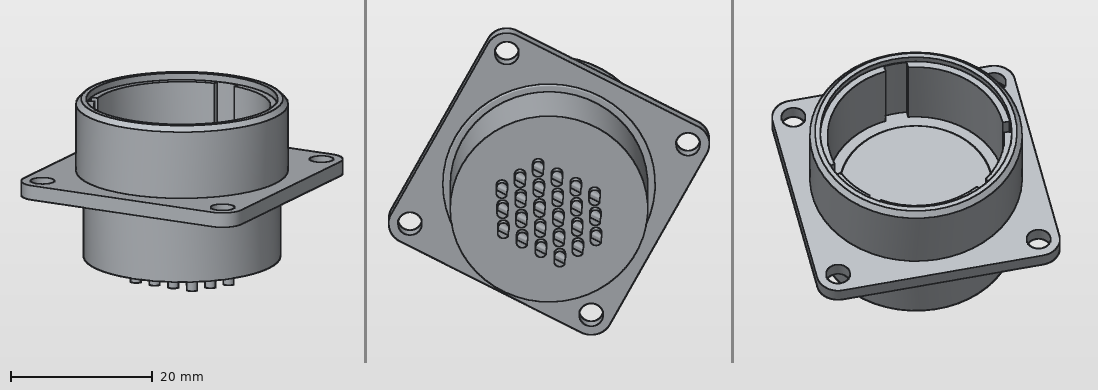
import cadquery as cq
import math

FLANGE_SIDE = 35.0
FLANGE_THICKNESS = 2.1
FLANGE_CORNER_RADIUS = 3.0
HOLE_SPACING = 28.98
HOLE_DIAMETER = 3.4

SHELL_RADIUS = 14.98
SHELL_HEIGHT = 10.43
RIM_CHAMFER = 0.75
BORE_RADIUS = 13.5
KEYWAY_RADIUS = 13.4
KEY_RING_RADIUS = 12.5
KEY_RING_DROP = 0.98
CAVITY_DEPTH = 12.2

INSERT_RADIUS = 10.85
INSERT_HEIGHT = 0.15
INSERT_CHAMFER = 0.1

MAIN_KEY_ANGLE = 90.0
MAIN_KEY_WIDTH = 3.25
MINOR_KEY_WIDTH = 1.82
KEYWAYS = [(MAIN_KEY_ANGLE, MAIN_KEY_WIDTH)]
KEYWAYS += [(MAIN_KEY_ANGLE + turn, MINOR_KEY_WIDTH) for turn in (105.0, 140.0, 215.0, 265.0)]

BODY_RADIUS = 13.93
BODY_LENGTH = 10.45
COLLAR_HEIGHT = 0.28
COLLAR_FILLET = 0.25

CONTACT_PITCH = 3.0
CONTACT_ROWS = (4, 5, 6, 5, 4)
CONTACT_DIAMETER = 1.6
CONTACT_LENGTH = 3.1
CONTACT_ROUND_LENGTH = 1.2
CUP_FILLET = 0.5

SHELL_TOP = FLANGE_THICKNESS + SHELL_HEIGHT
CAVITY_FLOOR = SHELL_TOP - CAVITY_DEPTH
KEY_RING_TOP = SHELL_TOP - KEY_RING_DROP


def disc(radius, bottom, top):
    return cq.Workplane("XY").workplane(offset=bottom).circle(radius).extrude(top - bottom)


def flange():
    plate = cq.Workplane("XY").rect(FLANGE_SIDE, FLANGE_SIDE).extrude(FLANGE_THICKNESS)
    plate = plate.edges("|Z").fillet(FLANGE_CORNER_RADIUS)
    holes = (
        cq.Workplane("XY")
        .rect(HOLE_SPACING, HOLE_SPACING, forConstruction=True)
        .vertices()
        .circle(HOLE_DIAMETER / 2)
        .extrude(FLANGE_THICKNESS)
    )
    return plate.cut(holes)


def shell():
    return disc(SHELL_RADIUS, 0, SHELL_TOP).faces(">Z").chamfer(RIM_CHAMFER)


def rear_body():
    collar = disc(SHELL_RADIUS, -COLLAR_HEIGHT, 0).faces("<Z").edges().fillet(COLLAR_FILLET)
    return disc(BODY_RADIUS, -BODY_LENGTH, 0).union(collar)


def keyway(angle, width):
    """Radial slot through the key ring, ending just inside the bore wall."""
    slot = (
        cq.Workplane("XY")
        .workplane(offset=CAVITY_FLOOR)
        .center(SHELL_RADIUS / 2, 0)
        .rect(SHELL_RADIUS, width)
        .extrude(CAVITY_DEPTH)
        .rotate((0, 0, 0), (0, 0, 1), angle)
    )
    return slot.intersect(disc(KEYWAY_RADIUS, CAVITY_FLOOR, SHELL_TOP))


def cavity():
    """Stepped bore with its keyways, leaving the insert face raised on the floor."""
    space = disc(KEY_RING_RADIUS, CAVITY_FLOOR, SHELL_TOP)
    space = space.union(disc(BORE_RADIUS, KEY_RING_TOP, SHELL_TOP))
    for angle, width in KEYWAYS:
        space = space.union(keyway(angle, width))
    insert = disc(INSERT_RADIUS, CAVITY_FLOOR, CAVITY_FLOOR + INSERT_HEIGHT)
    return space.cut(insert.faces(">Z").chamfer(INSERT_CHAMFER))


def contact():
    """Pin along -Z from the origin, its +Y half cut away below a filleted shoulder."""
    radius = CONTACT_DIAMETER / 2
    pin = disc(radius, -CONTACT_LENGTH, 0)
    notch = (
        cq.Workplane("YZ")
        .rect(CONTACT_DIAMETER, CONTACT_LENGTH - CONTACT_ROUND_LENGTH, centered=False)
        .extrude(radius, both=True)
        .edges("|X and >Z and <Y")
        .fillet(CUP_FILLET)
    )
    return pin.cut(notch.translate((0, 0, -CONTACT_LENGTH)))


def contact_positions():
    row_spacing = CONTACT_PITCH * math.sin(math.radians(60))
    positions = []
    for row, count in enumerate(CONTACT_ROWS):
        y = (row - (len(CONTACT_ROWS) - 1) / 2) * row_spacing
        for column in range(count):
            x = (column - (count - 1) / 2) * CONTACT_PITCH
            positions.append((x, y, -BODY_LENGTH))
    return positions


result = flange().union(shell()).union(rear_body()).cut(cavity())
solder_contact = contact()
for position in contact_positions():
    result = result.union(solder_contact.translate(position))